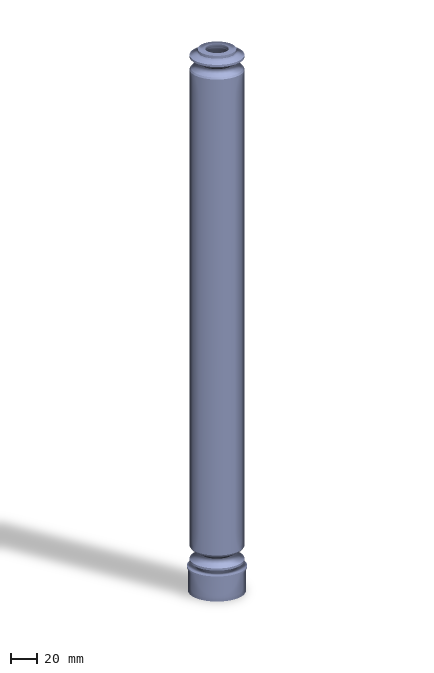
import cadquery as cq

length = 447.0
tube_diameter = 42.0
end_face_diameter = 29.5
groove_diameter = 26.0
collar_diameter = 34.0
cap_diameter = 44.2
cap_rim_diameter = 46.0
bore_diameter = 16.0
bore_mouth_diameter = 18.0

cap_height = 21.0
cap_rim_thickness = 1.5
lower_flange_bottom = 25.0
lower_flange_top = 27.0
lower_groove_height = 31.7

tube_bottom = 37.5
tube_top = 430.0
upper_groove_height = 435.5
upper_flange_bottom = 440.0
upper_flange_top = 442.0
end_face_rim_height = 2.2

shoulder_diameter = 40.0
shoulder_height = 1.5
bore_mouth_depth = 2.2


def revolved(profile):
    """Revolve (diameter, height) corners, closed along the axis, about Z."""
    points = [(0, profile[0][1])]
    points += [(diameter / 2, height) for diameter, height in profile]
    points.append((0, profile[-1][1]))
    return cq.Workplane("XZ").polyline(points).close().revolve(360, (0, 0), (0, 1))


cap = revolved([
    (cap_diameter, 0),
    (cap_diameter, cap_height - cap_rim_thickness),
    (cap_rim_diameter, cap_height - cap_rim_thickness),
    (cap_rim_diameter, cap_height),
])

tube = revolved([
    (collar_diameter, cap_height),
    (collar_diameter, lower_flange_bottom),
    (tube_diameter, lower_flange_bottom),
    (tube_diameter, lower_flange_top),
    (groove_diameter, lower_groove_height),
    (shoulder_diameter, tube_bottom - shoulder_height),
    (tube_diameter, tube_bottom),
    (tube_diameter, tube_top),
    (shoulder_diameter, tube_top + shoulder_height),
    (groove_diameter, upper_groove_height),
    (tube_diameter, upper_flange_bottom),
    (tube_diameter, upper_flange_top),
    (end_face_diameter, length - end_face_rim_height),
    (end_face_diameter, length),
])

bore = revolved([
    (bore_diameter, 0),
    (bore_diameter, length - bore_mouth_depth),
    (bore_mouth_diameter, length - bore_mouth_depth),
    (bore_mouth_diameter, length),
])

result = cap.union(tube).cut(bore)